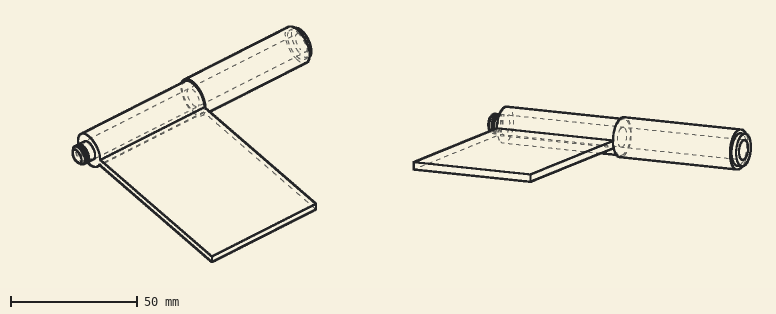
import cadquery as cq


total_length = 112.0
total_width = 88.0

barrel_diameter = 16.0
boss_diameter = 13.0
boss_length = 2.0

knuckle_diameter = 14.6
leaf_thickness = 3.0

pin_diameter = 8.0
pin_projection = 6.0
pin_chamfer = 1.0
groove_start = 2.1
groove_width = 0.9
groove_depth = 0.3

knuckle_start = pin_projection
knuckle_end = 58.0
barrel_end = total_length - boss_length
leaf_edge = total_width - barrel_diameter / 2


def cylinder(diameter, start, end):
    """Solid cylinder on the hinge axis between two Y positions."""
    plane = cq.Plane(origin=(0, start, 0), xDir=(1, 0, 0), normal=(0, 1, 0))
    return cq.Workplane(plane).circle(diameter / 2).extrude(end - start)


def make_pin():
    """Full-length pin with a chamfered, grooved free end."""
    shaft = cylinder(pin_diameter, 0, total_length).faces("<Y").chamfer(pin_chamfer)
    groove_end = groove_start + groove_width
    groove = cylinder(pin_diameter, groove_start, groove_end).cut(
        cylinder(pin_diameter - 2 * groove_depth, groove_start, groove_end)
    )
    return shaft.cut(groove)


def make_leaf():
    """Bored knuckle with a flat plate whose top lies on the axis plane."""
    knuckle = cylinder(knuckle_diameter, knuckle_start, knuckle_end)
    plate = cq.Workplane("XY").box(
        leaf_edge, knuckle_end - knuckle_start, leaf_thickness, centered=False
    ).translate((0, knuckle_start, -leaf_thickness))
    bore = cylinder(pin_diameter, knuckle_start, knuckle_end)
    return knuckle.union(plate).cut(bore)


def make_barrel():
    """Bored barrel with a reduced boss on its outer end."""
    body = cylinder(barrel_diameter, knuckle_end, barrel_end)
    boss = cylinder(boss_diameter, barrel_end, total_length)
    bore = cylinder(pin_diameter, knuckle_end, total_length)
    return body.union(boss).cut(bore)


pin = make_pin()
leaf = make_leaf()
barrel = make_barrel()

result = cq.Compound.makeCompound([leaf.val(), barrel.val(), pin.val()])